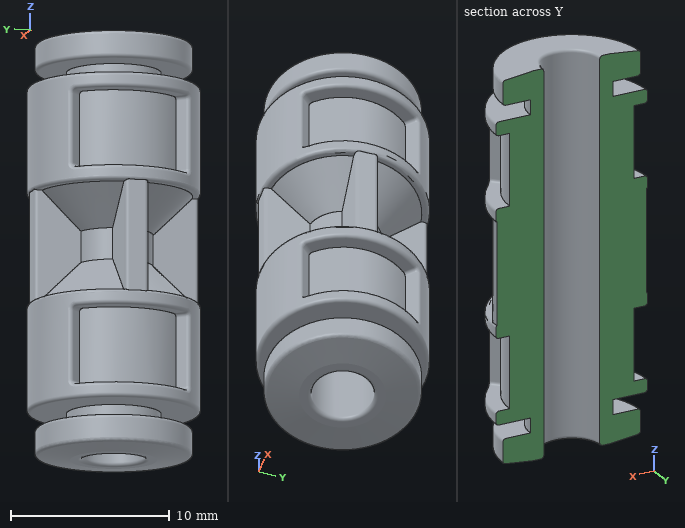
import cadquery as cq
import math

length = 27.0
half_length = length / 2

edge_radius = 0.25

cap_diameter = 10.0
cap_height = 2.0
cap_flat_diameter = 5.5
cap_rim_drop = 0.25
bore_diameter = 4.0

neck_diameter = 6.0
neck_height = 1.0

collar_diameter = 11.0
collar_height = 7.0
pocket_floor_diameter = 9.0
pocket_angle = 90.0
pocket_lip = 1.0
cutter_overshoot = 0.55

core_diameter = 5.0
cone_diameter = cap_diameter
cone_height = (cone_diameter - core_diameter) / 2
rib_span = 10.8
rib_thickness = 1.5

cap_bottom = half_length - cap_height
collar_top = cap_bottom - neck_height
collar_bottom = collar_top - collar_height
collar_middle = (collar_top + collar_bottom) / 2


def disc(diameter, bottom, top):
    """Cylinder on the Z axis between two levels."""
    return cq.Workplane("XY").workplane(offset=bottom).circle(diameter / 2).extrude(top - bottom)


def make_cap():
    """Cap with a flat centre, a gently sloping face and a rounded rim."""
    cap_radius = cap_diameter / 2
    profile = [
        (0, cap_bottom),
        (cap_radius, cap_bottom),
        (cap_radius, half_length - cap_rim_drop),
        (cap_flat_diameter / 2, half_length),
        (0, half_length),
    ]
    cap = cq.Workplane("XZ").polyline(profile).close().revolve(360, (0, 0), (0, 1))
    return cap.edges(cq.selectors.RadiusNthSelector(-1)).fillet(edge_radius)


def make_pocket_cutter():
    """Ring sector centred on +X, with radial walls and rounded corners."""
    inner = pocket_floor_diameter / 2
    outer = collar_diameter / 2 + cutter_overshoot
    height = collar_height - 2 * pocket_lip
    section_middle = (inner + outer) / 2
    cutter = (
        cq.Workplane("XZ")
        .center(section_middle, collar_middle)
        .rect(outer - inner, height)
        .revolve(pocket_angle, (-section_middle, 0), (-section_middle, 1))
    )
    cutter = cutter.edges("%LINE").edges("not |Z").fillet(edge_radius)
    middle = cutter.val().Center()
    return cutter.rotate((0, 0, 0), (0, 0, 1), -math.degrees(math.atan2(middle.y, middle.x)))


def is_pocket_mouth(edge):
    """True for edges on the collar surface that bound a pocket."""
    tolerance = 0.003
    box = edge.BoundingBox()
    on_surface = all(
        abs(math.hypot(point.x, point.y) - collar_diameter / 2) < tolerance
        for point in (edge.startPoint(), edge.endPoint())
    )
    reach = collar_height / 2 - pocket_lip + tolerance
    return on_surface and box.zmax < collar_middle + reach and box.zmin > collar_middle - reach


def make_collar():
    """Rounded collar with a pocket on the +X side and one on the -X side."""
    collar = disc(collar_diameter, collar_bottom, collar_top).edges("%CIRCLE").fillet(edge_radius)
    cutter = make_pocket_cutter()
    for angle in (0, 180):
        collar = collar.cut(cutter.rotate((0, 0, 0), (0, 0, 1), angle))
    return collar.edges().filter(is_pocket_mouth).fillet(edge_radius)


def make_cone():
    """Cone that narrows from the collar to the core."""
    cone = cq.Solid.makeCone(
        core_diameter / 2, cone_diameter / 2, cone_height,
        pnt=cq.Vector(0, 0, collar_bottom - cone_height),
    )
    return cq.Workplane(cone)


def make_ribs():
    """Two crossed plates joining the collars, with rounded long edges."""
    rib_height = 2 * (collar_bottom + edge_radius)
    plate = cq.Workplane("XY").box(rib_span, rib_thickness, rib_height).edges("|Z").fillet(edge_radius)
    return plate.union(plate.rotate((0, 0, 0), (0, 0, 1), 90))


upper = (
    make_cap()
    .union(disc(neck_diameter, collar_top, cap_bottom))
    .union(make_collar())
    .union(make_cone())
    .union(disc(core_diameter, 0, collar_bottom))
)
body = upper.union(upper.mirror("XY")).union(make_ribs())

body = body.cut(disc(bore_diameter, -half_length, half_length))
for end_face in (">Z", "<Z"):
    body = body.faces(end_face).edges(cq.selectors.RadiusNthSelector(0)).fillet(edge_radius)

result = body